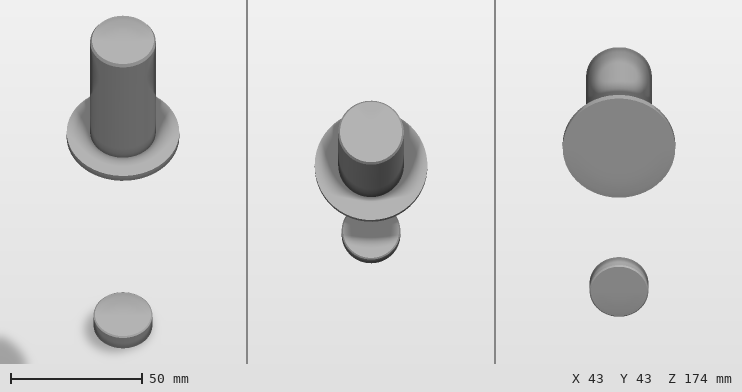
import cadquery as cq

total_height = 174.0

flange_diameter = 43.0
flange_thickness = 3.0
pin_diameter = 25.0
pin_height = 59.0
pin_chamfer_width = 0.7
pin_chamfer_height = 1.2

disc_diameter = 22.5
disc_thickness = 7.3
disc_chamfer = 0.5


def make_flanged_pin():
    """Round pin with a flange at its foot and a steep chamfer at its top, turned about Z."""
    flange_radius = flange_diameter / 2
    pin_radius = pin_diameter / 2
    half_section = (
        cq.Workplane("XZ", origin=(0, 0, total_height - pin_height))
        .moveTo(0, 0)
        .lineTo(flange_radius, 0)
        .lineTo(flange_radius, flange_thickness)
        .lineTo(pin_radius, flange_thickness)
        .lineTo(pin_radius, pin_height - pin_chamfer_height)
        .lineTo(pin_radius - pin_chamfer_width, pin_height)
        .lineTo(0, pin_height)
        .close()
    )
    return half_section.revolve(360, (0, 0, 0), (0, 1, 0))


def make_disc():
    """Short disc with both rims chamfered."""
    blank = cq.Workplane("XY").circle(disc_diameter / 2).extrude(disc_thickness)
    return blank.faces("<Z or >Z").edges().chamfer(disc_chamfer)


flanged_pin = make_flanged_pin()
disc = make_disc()

result = cq.Compound.makeCompound([flanged_pin.val(), disc.val()])